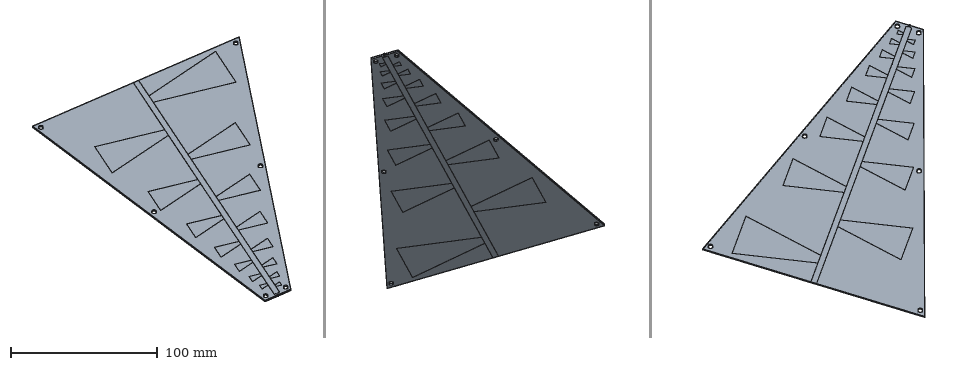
import cadquery as cq


TOTAL_THICKNESS = 1.64
COPPER_THICKNESS = 0.035
MASK_OVER_COPPER = 0.02
MASK_THICKNESS = COPPER_THICKNESS + MASK_OVER_COPPER
CORE_THICKNESS = TOTAL_THICKNESS - 2 * MASK_THICKNESS
CORE_TOP = CORE_THICKNESS / 2

BOARD_LENGTH = 205.0
WIDE_HALF_WIDTH = 80.0
NARROW_HALF_WIDTH = 10.0

MOUNT_HOLE_DIAMETER = 3.2
MOUNT_HOLES = [(3.5, 75.5), (103.0, 41.2), (201.7, 7.7)]

BOOM_HALF_WIDTH = 2.05
BOOM_END = 203.5
NOSE_RADIUS = 0.75

PLATING_OUTER_DIAMETER = 1.0
PLATING_INNER_DIAMETER = 0.95

ELEMENT_COUNT = 15
ELEMENT_RATIO = 0.85
FIRST_ELEMENT_X = 18.0
FIRST_PITCH = 30.0
FIRST_HALF_LENGTH = 59.9
FIRST_TIP_WIDTH = 29.6
FIRST_ROOT_WIDTH = 5.3
APEX_X = FIRST_ELEMENT_X + FIRST_PITCH / (1 - ELEMENT_RATIO)


def cylinder(x, y, diameter):
    """A cylinder through the full thickness of the board."""
    return (
        cq.Workplane("XY", origin=(x, y, -TOTAL_THICKNESS / 2))
        .circle(diameter / 2)
        .extrude(TOTAL_THICKNESS)
    )


def board_slab(bottom, thickness):
    """A layer with the board outline, the mounting holes and the feed hole."""
    slab = (
        cq.Workplane("XY", origin=(0, 0, bottom))
        .polyline([
            (0, -WIDE_HALF_WIDTH),
            (BOARD_LENGTH, -NARROW_HALF_WIDTH),
            (BOARD_LENGTH, NARROW_HALF_WIDTH),
            (0, WIDE_HALF_WIDTH),
        ])
        .close()
        .extrude(thickness)
    )
    for x, y in MOUNT_HOLES:
        for side in (1, -1):
            slab = slab.cut(cylinder(x, side * y, MOUNT_HOLE_DIAMETER))
    return slab.cut(cylinder(BOARD_LENGTH, 0, PLATING_OUTER_DIAMETER))


def boom(thickness):
    """The straight boom, standing on the top of the core."""
    return (
        cq.Workplane("XY", origin=(0, 0, CORE_TOP))
        .rect(BOOM_END, 2 * BOOM_HALF_WIDTH)
        .extrude(thickness)
        .translate((BOOM_END / 2, 0, 0))
    )


def boom_nose(thickness):
    """The round nose on the feed end of the boom."""
    return cq.Workplane("XY", origin=(BOOM_END, 0, CORE_TOP)).circle(NOSE_RADIUS).extrude(thickness)


def element(index):
    """One flared element, growing from the boom axis to alternate sides."""
    scale = ELEMENT_RATIO**index
    side = 1 if index % 2 == 0 else -1
    middle = APEX_X - (APEX_X - FIRST_ELEMENT_X) * scale
    half_root = FIRST_ROOT_WIDTH / 2 * scale
    half_tip = FIRST_TIP_WIDTH / 2 * scale
    tip_y = side * FIRST_HALF_LENGTH * scale
    return (
        cq.Workplane("XY", origin=(0, 0, CORE_TOP))
        .polyline([
            (middle - half_root, 0),
            (middle + half_root, 0),
            (middle + half_tip, tip_y),
            (middle - half_tip, tip_y),
        ])
        .close()
        .extrude(COPPER_THICKNESS)
    )


def antenna_half():
    """The boom and its elements on the top of the core."""
    copper = boom(COPPER_THICKNESS)
    for index in range(ELEMENT_COUNT):
        copper = copper.union(element(index))
    return copper


def feed():
    """The nose, the track to the narrow edge and the plating of the feed hole."""
    track_length = BOARD_LENGTH - BOOM_END
    track = (
        cq.Workplane("XY", origin=(BOOM_END + track_length / 2, 0, CORE_TOP))
        .rect(track_length, PLATING_OUTER_DIAMETER)
        .extrude(COPPER_THICKNESS)
    )
    plating = cylinder(BOARD_LENGTH, 0, PLATING_OUTER_DIAMETER)
    bore = cylinder(BOARD_LENGTH, 0, PLATING_INNER_DIAMETER)
    return boom_nose(COPPER_THICKNESS).union(track).union(plating).cut(bore)


def flip_over(body):
    """Turn a top layer over about the boom axis, onto the bottom of the board."""
    return body.rotate((0, 0, 0), (1, 0, 0), 180)


core = board_slab(-CORE_TOP, CORE_THICKNESS)

plain_copper = antenna_half()
top_copper = plain_copper.union(feed())
bottom_copper = flip_over(plain_copper)

bare_mask = board_slab(CORE_TOP, MASK_THICKNESS).cut(boom(MASK_THICKNESS))
top_mask = bare_mask.cut(boom_nose(MASK_THICKNESS)).cut(top_copper)
bottom_mask = flip_over(bare_mask.cut(plain_copper))

result = cq.Compound.makeCompound([
    core.solids().val(),
    top_copper.solids().val(),
    bottom_copper.solids().val(),
    top_mask.solids().val(),
    bottom_mask.solids().val(),
])